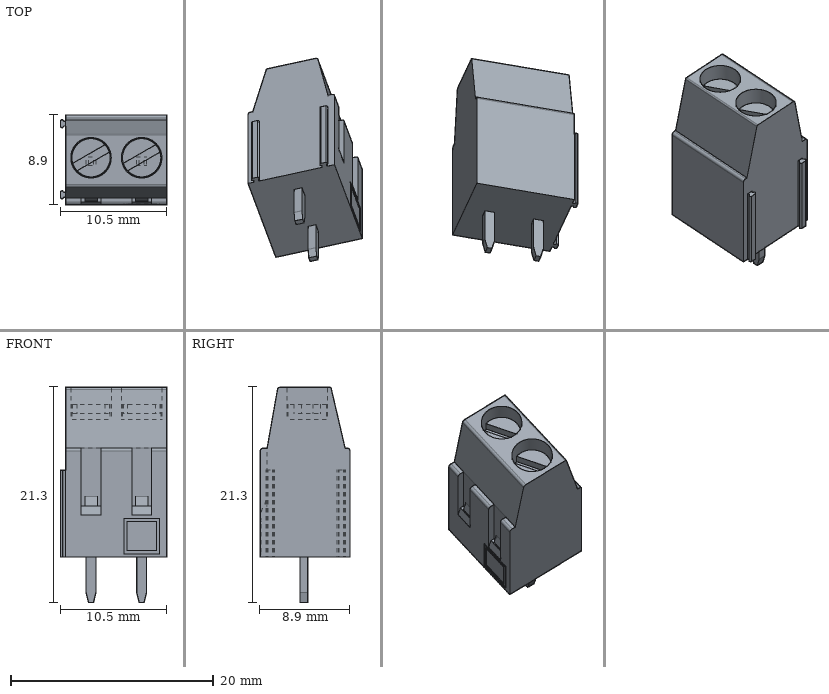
import cadquery as cq
import math


POLES = 2
PITCH = 5.0
WIDTH = POLES * PITCH
DEPTH = 8.9
TOTAL_HEIGHT = 21.3
PIN_LENGTH = 4.5
HEIGHT = TOTAL_HEIGHT - PIN_LENGTH
SHOULDER_Z = 10.78
FRONT_SHOULDER = 0.68
BACK_SHOULDER = 0.5
TOP_FRONT_Y = 1.75
TOP_BACK_Y = 7.0
ROUND = 0.3
BACK_TOP_ROUND = 0.15

SCREW_Y = 4.66
BORE_DIAMETER = 4.0
HEAD_DIAMETER = 3.8
HEAD_DROP = 1.7
DRIVE_WIDTH = 0.85
DRIVE_DEPTH = 0.9
HEAD_HEIGHT = 1.5
DRIVE_ANGLE = 30.0

WINDOW_WIDTH = 1.94
SILL_FRONT_Z = 4.15
SILL_Z = 5.05
SILL_EDGE_Y = 0.3
WEDGE_WIDTH = 1.24
WEDGE_TOP_Z = 5.99
WEDGE_FOOT_Y = 0.4

RAIL_HEIGHT = 8.6
RAIL_OUT = 0.53
RAIL_CENTERS_Y = (1.0, 8.03)
RAIL_FACE_HALF = 0.25
RAIL_HEAD_HALF = 0.4
RAIL_NECK_HALF = 0.23
RAIL_ROOT_HALF = 0.3
RAIL_HEAD_OUT = 0.3
RAIL_NECK_OUT = 0.23

PIN_WIDTH = 1.0
PIN_THICKNESS = 0.8
PIN_Y = 4.32
PIN_TIP_WIDTH = PIN_WIDTH / 2
PIN_TAPER = 1.0

LABEL_X = 7.52
LABEL_Z = 2.09
LABEL_OUTER = 3.51
LABEL_INNER = 2.9
LABEL_DEPTH = 0.09

POLE_CENTERS_X = [(pole + 0.5) * PITCH for pole in range(POLES)]


def box(width, depth, height, corner):
    """Box that grows from its lowest-coordinate corner."""
    return cq.Workplane("XY").box(width, depth, height, centered=False).translate(corner)


def extrude_profile_yz(points, start_x, width):
    """Closed (Y, Z) outline extruded along +X from start_x."""
    return cq.Workplane("YZ", origin=(start_x, 0, 0)).polyline(points).close().extrude(width)


def make_housing():
    outline = [
        (0, 0),
        (0, SHOULDER_Z),
        (FRONT_SHOULDER, SHOULDER_Z),
        (TOP_FRONT_Y, HEIGHT),
        (TOP_BACK_Y, HEIGHT),
        (DEPTH - BACK_SHOULDER, SHOULDER_Z),
        (DEPTH, SHOULDER_Z),
        (DEPTH, 0),
    ]
    body = extrude_profile_yz(outline, 0, WIDTH)

    def round_long_edge(solid, y, z, radius):
        edge = cq.selectors.NearestToPointSelector((WIDTH / 2, y, z))
        return solid.edges("|X").edges(edge).fillet(radius)

    body = round_long_edge(body, 0, SHOULDER_Z, ROUND)
    body = round_long_edge(body, DEPTH, SHOULDER_Z, ROUND)
    body = round_long_edge(body, TOP_FRONT_Y, HEIGHT, ROUND)
    return round_long_edge(body, TOP_BACK_Y, HEIGHT, BACK_TOP_ROUND)


def make_window_cut(center_x):
    """Pocket open to the front and top, leaving a sill with a sloped front part."""
    outline = [
        (0, SILL_FRONT_Z),
        (SILL_EDGE_Y, SILL_Z),
        (FRONT_SHOULDER, SILL_Z),
        (FRONT_SHOULDER, SHOULDER_Z),
        (0, SHOULDER_Z),
    ]
    return extrude_profile_yz(outline, center_x - WINDOW_WIDTH / 2, WINDOW_WIDTH)


def make_wedge(center_x):
    outline = [
        (WEDGE_FOOT_Y, SILL_Z),
        (FRONT_SHOULDER, WEDGE_TOP_Z),
        (FRONT_SHOULDER, SILL_Z),
    ]
    return extrude_profile_yz(outline, center_x - WEDGE_WIDTH / 2, WEDGE_WIDTH)


def make_screw_cut(center_x):
    """Bore above the screw, the thin gap around its head and its driver slot."""
    bottom_z = HEIGHT - HEAD_DROP - HEAD_HEIGHT
    bore = cq.Workplane("XY").circle(BORE_DIAMETER / 2).extrude(HEAD_DROP + HEAD_HEIGHT)
    head = cq.Workplane("XY").circle(HEAD_DIAMETER / 2).extrude(HEAD_HEIGHT)
    drive = cq.Workplane("XY", origin=(0, 0, HEAD_HEIGHT - DRIVE_DEPTH)).rect(BORE_DIAMETER, DRIVE_WIDTH)
    drive = drive.extrude(DRIVE_DEPTH).rotate((0, 0, 0), (0, 0, 1), DRIVE_ANGLE)
    return bore.cut(head.cut(drive)).translate((center_x, SCREW_Y, bottom_z))


def make_rail(center_y):
    """Rail on the left side with a rounded head on a hollow neck."""
    bulge = math.sqrt(0.5)
    arc_x = -RAIL_HEAD_OUT - (RAIL_OUT - RAIL_HEAD_OUT) * bulge
    arc_y = RAIL_FACE_HALF + (RAIL_HEAD_HALF - RAIL_FACE_HALF) * bulge
    neck_x = -RAIL_NECK_OUT / 2
    return (
        cq.Workplane("XY", origin=(0, center_y, 0))
        .moveTo(0, -RAIL_ROOT_HALF)
        .threePointArc((neck_x, -RAIL_NECK_HALF), (-RAIL_NECK_OUT, -RAIL_ROOT_HALF))
        .lineTo(-RAIL_HEAD_OUT, -RAIL_HEAD_HALF)
        .threePointArc((arc_x, -arc_y), (-RAIL_OUT, -RAIL_FACE_HALF))
        .lineTo(-RAIL_OUT, RAIL_FACE_HALF)
        .threePointArc((arc_x, arc_y), (-RAIL_HEAD_OUT, RAIL_HEAD_HALF))
        .lineTo(-RAIL_NECK_OUT, RAIL_ROOT_HALF)
        .threePointArc((neck_x, RAIL_NECK_HALF), (0, RAIL_ROOT_HALF))
        .close()
        .extrude(RAIL_HEIGHT)
    )


def make_pin(center_x):
    """Flat solder pin with a tip narrowed in X only."""
    taper_z = PIN_TAPER - PIN_LENGTH
    outline = [
        (-PIN_WIDTH / 2, 0),
        (-PIN_WIDTH / 2, taper_z),
        (-PIN_TIP_WIDTH / 2, -PIN_LENGTH),
        (PIN_TIP_WIDTH / 2, -PIN_LENGTH),
        (PIN_WIDTH / 2, taper_z),
        (PIN_WIDTH / 2, 0),
    ]
    front_y = PIN_Y - PIN_THICKNESS / 2
    pin = cq.Workplane("XZ").polyline(outline).close().extrude(-PIN_THICKNESS)
    return pin.translate((center_x, front_y, 0))


def make_label_groove():
    def square(side):
        corner = (LABEL_X - side / 2, 0, LABEL_Z - side / 2)
        return box(side, LABEL_DEPTH, side, corner)

    return square(LABEL_OUTER).cut(square(LABEL_INNER))


result = make_housing().cut(make_label_groove())
for pole_x in POLE_CENTERS_X:
    result = result.cut(make_window_cut(pole_x)).union(make_wedge(pole_x))
    result = result.cut(make_screw_cut(pole_x)).union(make_pin(pole_x))
for rail_y in RAIL_CENTERS_Y:
    result = result.union(make_rail(rail_y))